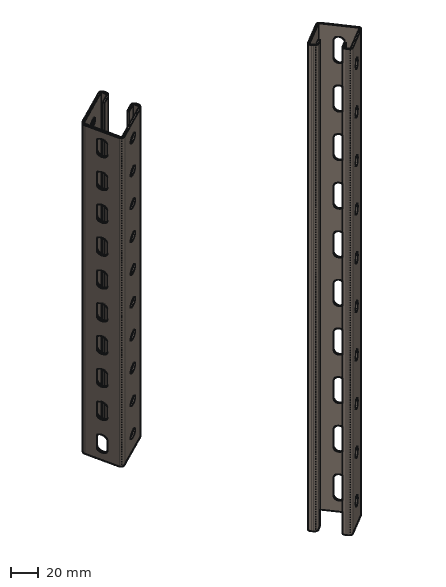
import cadquery as cq

length = 405.0
width = 33.2
depth = 33.2
thickness = 1.5

bend_radius = 3.05
flange_width = 7.5
lip_depth = 9.0

hole_count = 10
pitch = length / hole_count
slot_width = 8.5
slot_length = 22.0
hole_diameter = 8.5
hole_offset = 1.0


def make_channel():
    """Lipped channel along Z, back wall at -Y and open face at +Y."""
    half_mouth = width / 2 - flange_width
    blank = cq.Workplane("XY").rect(width, depth).extrude(length)
    mouth = (
        cq.Workplane("XY")
        .center(0, depth / 2)
        .rect(2 * half_mouth, depth)
        .extrude(length)
    )
    rounded = blank.cut(mouth).edges("|Z and (<X or >X or >Y)").fillet(bend_radius)

    cavity_x = width / 2 - thickness
    cavity_y = depth / 2 - thickness
    lip_outer_x = half_mouth + thickness
    lip_end_y = depth / 2 - lip_depth
    cavity = (
        cq.Workplane("XY")
        .moveTo(-cavity_x, -cavity_y)
        .lineTo(cavity_x, -cavity_y)
        .lineTo(cavity_x, cavity_y)
        .lineTo(lip_outer_x, cavity_y)
        .lineTo(lip_outer_x, lip_end_y)
        .lineTo(-lip_outer_x, lip_end_y)
        .lineTo(-lip_outer_x, cavity_y)
        .lineTo(-cavity_x, cavity_y)
        .close()
        .extrude(length)
    )
    return rounded.cut(cavity)


def make_back_slots():
    """Row of upright slots through the back wall."""
    return (
        cq.Workplane("XZ", origin=(0, 0, length / 2))
        .rarray(4, pitch, 1, hole_count)
        .slot2D(slot_length, slot_width, 90)
        .extrude(depth)
    )


def make_side_holes():
    """Row of round holes through both side walls."""
    return (
        cq.Workplane("YZ", origin=(0, hole_offset, length / 2))
        .rarray(4, pitch, 1, hole_count)
        .circle(hole_diameter / 2)
        .extrude(width, both=True)
    )


result = make_channel().cut(make_back_slots()).cut(make_side_holes())